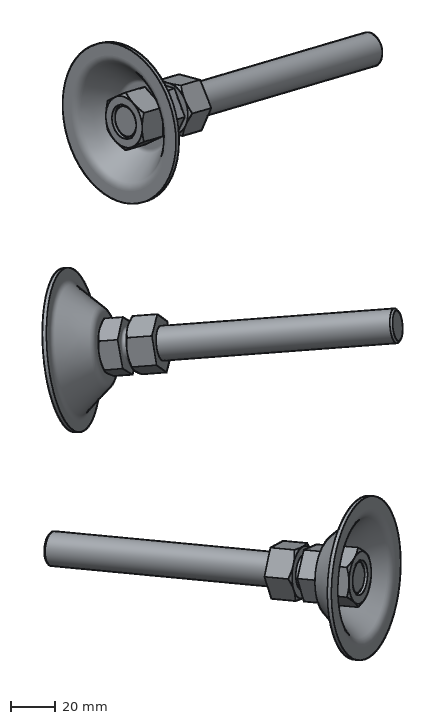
import cadquery as cq
import math


flange_radius = 37.5
sheet = 2.0
plate_height = 18.0
crown_start = 15.5
crown_inner_radius = 2.5
rim_outer_radius = 3.5
rim_outer_end = 32.6
rim_inner_radius = 5.0
rim_inner_end = 31.6

stud_radius = 8.0
stud_top = 158.0
stud_chamfer = 1.0
stud_recess = 1.0
collar_height = 10.0
collar_fillet = 1.0
collar_top = plate_height + collar_height
collar_turn = 0.0

across_flats = 24.0
flat_radius = across_flats / 2
corner_radius = flat_radius / math.cos(math.pi / 6)
hex_chamfer_angle = math.radians(30)
nut_height = 13.0
lock_nut_bottom = 31.5
lock_nut_turn = 2.5
plate_nut_turn = 30.0
plate_nut_bottom = plate_height - sheet - nut_height
stud_bottom = plate_nut_bottom + stud_recess


def hex_prism(bottom, height, turn):
    """Hexagonal prism along Y, with its corners chamfered at the lower end."""
    chamfer_height = (corner_radius - flat_radius) * math.tan(hex_chamfer_angle)
    top = bottom + height
    prism = (
        cq.Workplane("XZ", origin=(0, top, 0))
        .polygon(6, 2 * corner_radius)
        .extrude(height)
        .rotate((0, 0, 0), (0, -1, 0), turn)
    )
    envelope = (
        cq.Workplane("XY")
        .moveTo(0, bottom)
        .lineTo(flat_radius, bottom)
        .lineTo(corner_radius, bottom + chamfer_height)
        .lineTo(corner_radius, top)
        .lineTo(0, top)
        .close()
        .revolve(360, (0, 0, 0), (0, 1, 0))
    )
    return prism.intersect(envelope)


def cylinder(radius, bottom, top):
    """Solid cylinder along the Y axis."""
    return cq.Workplane("XZ", origin=(0, top, 0)).circle(radius).extrude(top - bottom)


def hex_nut(bottom, turn):
    """Hexagon nut bored to the stud's diameter."""
    bore = cylinder(stud_radius, bottom, bottom + nut_height)
    return hex_prism(bottom, nut_height, turn).cut(bore)


def make_stud():
    """Plain rod chamfered at both ends, with a hexagonal collar and a fillet above it."""
    rod = cylinder(stud_radius, stud_bottom, stud_top).edges("%CIRCLE").chamfer(stud_chamfer)
    fillet_ring = (
        cq.Workplane("XY")
        .moveTo(0, collar_top)
        .lineTo(stud_radius + collar_fillet, collar_top)
        .radiusArc((stud_radius, collar_top + collar_fillet), collar_fillet)
        .lineTo(0, collar_top + collar_fillet)
        .close()
        .revolve(360, (0, 0, 0), (0, 1, 0))
    )
    collar = hex_prism(plate_height, collar_height, collar_turn)
    return rod.union(collar).union(fillet_ring)


def bend_point(center, radius, angle):
    """Point on a bend, at an angle from the +Y direction towards +X."""
    return (center[0] + radius * math.sin(angle), center[1] + radius * math.cos(angle))


def skin_bends(crown_y, crown_radius, rim_y, rim_radius, rim_end):
    """Points of the crown bend and the rim bend of one skin; a straight wall tangent to both joins them."""
    crown_center = (crown_start, crown_y - crown_radius)
    rim_center = (rim_end, rim_y + rim_radius)
    run = rim_center[0] - crown_center[0]
    drop = crown_center[1] - rim_center[1]
    wall_angle = math.atan2(drop, run) + math.asin((crown_radius + rim_radius) / math.hypot(run, drop))

    crown = [bend_point(crown_center, crown_radius, wall_angle * part) for part in (0, 0.5, 1)]
    rim = [bend_point(rim_center, -rim_radius, wall_angle * part) for part in (1, 0.5, 0)]
    return crown, rim


def make_foot_plate():
    """Pressed sheet: top disc with the stud hole, conical wall and flat flange."""
    floor = plate_height - sheet
    outer_crown, outer_rim = skin_bends(
        plate_height, crown_inner_radius + sheet, sheet, rim_outer_radius, rim_outer_end
    )
    inner_crown, inner_rim = skin_bends(floor, crown_inner_radius, 0, rim_inner_radius, rim_inner_end)
    return (
        cq.Workplane("XY")
        .moveTo(stud_radius, plate_height)
        .lineTo(*outer_crown[0])
        .threePointArc(outer_crown[1], outer_crown[2])
        .lineTo(*outer_rim[0])
        .threePointArc(outer_rim[1], outer_rim[2])
        .lineTo(flange_radius, sheet)
        .lineTo(flange_radius, 0)
        .lineTo(*inner_rim[2])
        .threePointArc(inner_rim[1], inner_rim[0])
        .lineTo(*inner_crown[2])
        .threePointArc(inner_crown[1], inner_crown[0])
        .lineTo(stud_radius, floor)
        .close()
        .revolve(360, (0, 0, 0), (0, 1, 0))
    )


foot_plate = make_foot_plate()
stud = make_stud()
lock_nut = hex_nut(lock_nut_bottom, lock_nut_turn)
plate_nut = hex_nut(plate_nut_bottom, plate_nut_turn)

bodies = [foot_plate, stud, lock_nut, plate_nut]
result = cq.Compound.makeCompound([body.solids().val() for body in bodies])